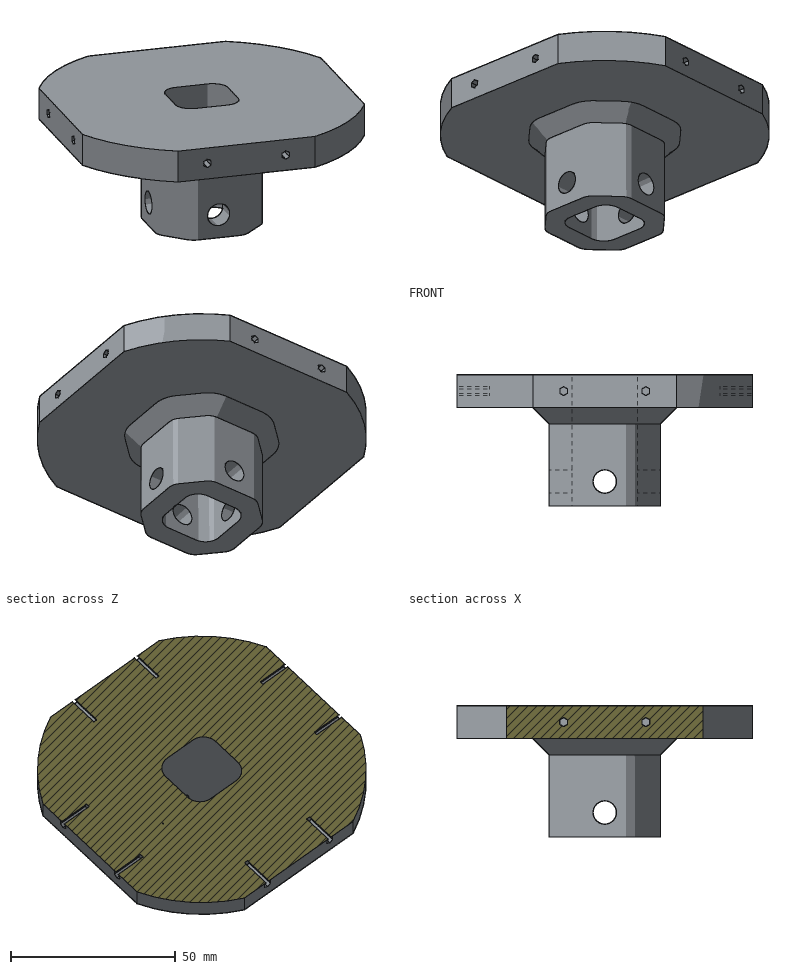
import cadquery as cq

plate_width = 90
plate_radius = 50.0
plate_thickness = 10.0
total_height = 40.0
underside = total_height - plate_thickness

stem_width = 34.0
stem_corner_cut = 8.55
stem_edge_radius = 4.7
flare_height = 4.95
flare_angle = 45
stem_height = underside - flare_height

bore_width = 20.0
bore_corner_radius = 4.95

cross_hole_diameter = 7.0
cross_hole_height = 7.5

side_hole_spacing = 25.0
side_hole_diameter = 2.7
side_hole_depth = 10.0
side_hole_height = underside + plate_thickness / 2


def make_plate():
    square = cq.Workplane().rect(plate_width, plate_width).extrude(plate_thickness)
    disc = cq.Workplane().circle(plate_radius).extrude(plate_thickness)
    return square.intersect(disc).translate((0, 0, underside))


def make_stem():
    stem = (
        cq.Workplane()
        .rect(stem_width, stem_width)
        .extrude(stem_height)
        .edges("|Z")
        .chamfer(stem_corner_cut)
        .edges("|Z")
        .fillet(stem_edge_radius)
    )
    flare = (
        stem.faces(">Z")
        .wires()
        .toPending()
        .workplane()
        .extrude(flare_height, taper=-flare_angle, combine=False)
    )
    return stem.union(flare)


def make_bore():
    return (
        cq.Workplane()
        .rect(bore_width, bore_width)
        .extrude(total_height)
        .edges("|Z")
        .fillet(bore_corner_radius)
    )


def make_cross_hole():
    return (
        cq.Workplane("XZ")
        .center(0, cross_hole_height)
        .circle(cross_hole_diameter / 2)
        .extrude(stem_width, both=True)
    )


def make_side_holes():
    """Two hexagonal holes, points up, entering the -Y side of the plate."""
    return (
        cq.Workplane("XZ", origin=(0, -plate_width / 2, side_hole_height))
        .transformed(rotate=(0, 0, 90))
        .rarray(0.9, side_hole_spacing, 1, 2)
        .polygon(6, side_hole_diameter)
        .extrude(-side_hole_depth)
    )


def turned(shape, angle):
    """The shape turned about the vertical axis of the part."""
    return shape.rotate((0, 0, 0), (0, 0, 1), angle)


result = make_plate().union(make_stem()).cut(make_bore())

for angle in (0, 90):
    result = result.cut(turned(make_cross_hole(), angle))

for angle in (0, 90, 180, 270):
    result = result.cut(turned(make_side_holes(), angle))